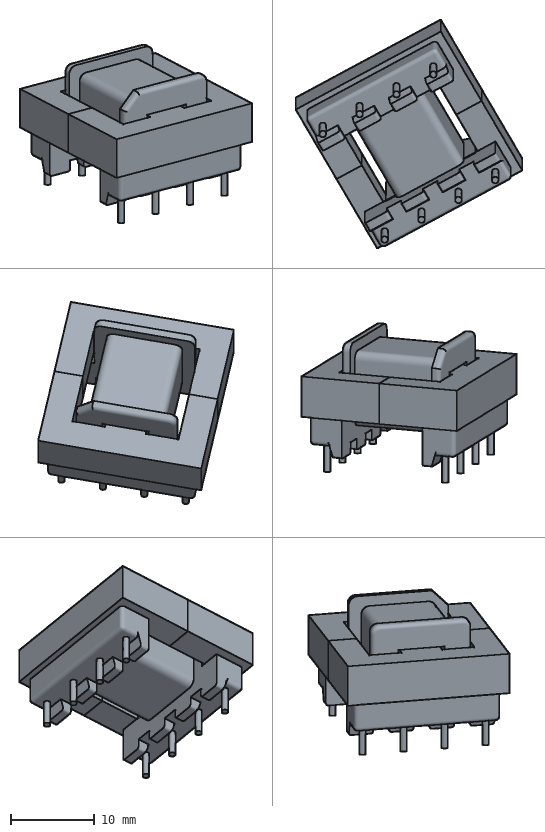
import cadquery as cq


core_size = 20.0
core_height = 5.0
core_wall = 3.5
centre_leg_width = 5.0
core_bottom = -core_height / 2

base_top = core_bottom - 0.15
base_bottom = -6.15
base_inner_x = 5.2
base_outer_x = 9.35
base_width = 18.0
edge_radius = 0.5

tunnel_width = 5.72
tunnel_height = 5.48
tube_wall = 0.5
tube_centre_z = base_top + tunnel_height / 2
tube_width = tunnel_width + 2 * tube_wall
tube_height = tunnel_height + 2 * tube_wall

flange_outer_x = 6.35
flange_top = 6.0
flange_width = 12.3
flange_corner_radius = 1.0
flange_corner_chamfer = 2.0
flange_recess = 0.1

row_count = 4
foot_width = 3.0
foot_pitch = (base_width - foot_width) / (row_count - 1)
foot_bottom = -7.52
foot_root_x = 6.92
foot_corner_radius = 0.35

pin_diameter = 0.8
pin_bottom = -9.55
pin_row_x = 7.6
pin_pitch = 5.08

winding_size = 9.25
winding_corner_radius = 1.0


def row_positions(pitch):
    """Y positions of the feet or pins, centred on the X axis."""
    return [(i - (row_count - 1) / 2) * pitch for i in range(row_count)]


def x_block(x_start, x_end, width, height, centre_z):
    """Block along X, centred on Y = 0 and on centre_z."""
    length = x_end - x_start
    return cq.Workplane("XY").box(length, width, height).translate(((x_start + x_end) / 2, 0, centre_z))


def make_left_core():
    """E-shaped core half on the -X side, its legs ending at X = 0."""
    half = core_size / 2
    block = x_block(-half, 0, core_size, core_height, 0)
    window = x_block(core_wall - half, 0, core_size - 2 * core_wall, core_height, 0)
    centre_leg = x_block(core_wall - half, 0, centre_leg_width, core_height, 0)
    return block.cut(window).union(centre_leg)


def make_left_base():
    """Base block on the -X side, rounded on its outer and lower edges."""
    base_height = base_top - base_bottom
    block = x_block(-base_outer_x, -base_inner_x, base_width, base_height, base_bottom + base_height / 2)
    outer_corners = block.edges("|Z and <X")
    lower_edges = block.faces("<Z").edges("not >X")
    return outer_corners.add(lower_edges).fillet(edge_radius)


def make_left_foot(y):
    """Tapered foot that is flush with the inner face of the base."""
    foot_root_z = base_bottom + edge_radius
    profile = [
        (-base_inner_x, foot_root_z),
        (-base_inner_x, foot_bottom),
        (-flange_outer_x, foot_bottom),
        (-foot_root_x, foot_root_z),
    ]
    foot = cq.Workplane("XZ").polyline(profile).close().extrude(foot_width / 2, both=True)
    foot = foot.faces("<Z").edges("|X").fillet(foot_corner_radius)
    return foot.translate((0, y, 0))


def make_left_pin(y):
    """Round pin that starts at the underside of the base."""
    pin = cq.Workplane("XY").circle(pin_diameter / 2).extrude(base_bottom - pin_bottom)
    return pin.translate((-pin_row_x, y, pin_bottom))


def make_left_end():
    """Base with its feet and pins on the -X side."""
    end = make_left_base()
    for y in row_positions(foot_pitch):
        end = end.union(make_left_foot(y))
    for y in row_positions(pin_pitch):
        end = end.union(make_left_pin(y))
    return end


def flange_block(x_start, x_end):
    """Plain flange plate standing on the base."""
    height = flange_top - base_top
    return x_block(x_start, x_end, flange_width, height, base_top + height / 2)


def make_left_flange():
    """Flange with two round top corners and a rounded outer rim."""
    flange = flange_block(-flange_outer_x, -base_inner_x)
    flange = flange.edges("|X and >Z").fillet(flange_corner_radius)
    return flange.faces("<X").edges("not <Z").fillet(edge_radius)


def make_right_flange():
    """Flange with one round and one bevelled top corner, and a rounded outer rim."""
    flange = flange_block(base_inner_x + flange_recess, flange_outer_x)
    flange = flange.edges("|X and >Z").edges(">Y").fillet(flange_corner_radius)
    flange = flange.edges("|X and >Z").edges("<Y").chamfer(flange_corner_chamfer)
    return flange.faces(">X").edges("not <Z").fillet(edge_radius)


def make_bobbin():
    """Tube, flanges, bases, feet and pins as one solid with a tunnel for the core."""
    left_end = make_left_end()
    right_end = left_end.mirror("YZ")
    tube = x_block(-base_inner_x, base_inner_x + flange_recess, tube_width, tube_height, tube_centre_z)
    tunnel = x_block(-core_size / 2, core_size / 2, tunnel_width, tunnel_height, tube_centre_z)
    body = left_end.union(right_end).union(make_left_flange()).union(make_right_flange())
    return body.union(tube).cut(tunnel)


def make_winding():
    """Winding filling the space between the bases, wrapped tightly around the tube."""
    winding = x_block(-base_inner_x, base_inner_x, winding_size, winding_size, tube_centre_z)
    winding = winding.edges("|X").fillet(winding_corner_radius)
    opening = x_block(-base_inner_x, base_inner_x, tube_width, tube_height, tube_centre_z)
    return winding.cut(opening)


left_core = make_left_core()
right_core = left_core.mirror("YZ")
bobbin = make_bobbin()
winding = make_winding()

result = cq.Compound.makeCompound([body.solids().val() for body in (left_core, right_core, bobbin, winding)])